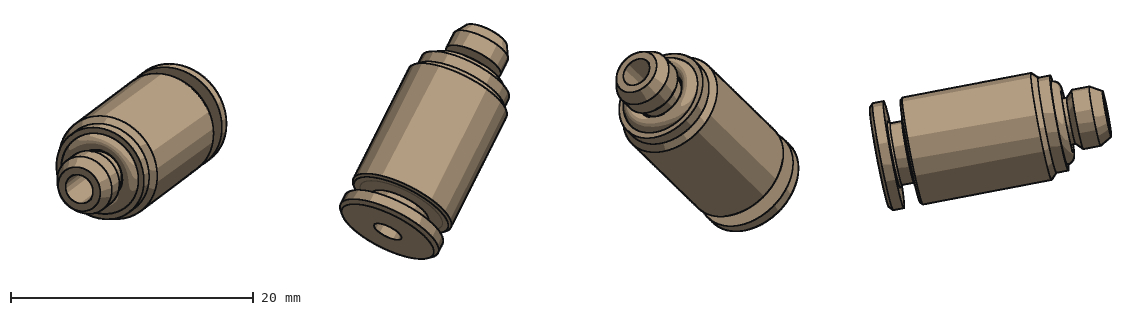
import cadquery as cq
import math


bore_diameter = 2.5

stud_diameter = 5.0
neck_diameter = 3.9
stud_tip_length = 1.0
stud_tip_angle = 30.0
neck_start = 3.0
stud_back_chamfer = (stud_diameter - neck_diameter) / 2

ring_outer_diameter = 7.0
ring_section_radius = 0.7
ring_center_radius = ring_outer_diameter / 2 - ring_section_radius

body_diameter = 9.0
spigot_diameter = 8.0
seat_position = 4.0
spigot_length = 1.0
body_front_chamfer = (body_diameter - spigot_diameter) / 2
body_rear_position = 16.5
body_rear_chamfer = 0.2
rear_cone_diameter = 7.5
rear_cone_height = 0.2

collar_diameter = 9.0
collar_neck_diameter = 5.2
collar_position = 17.9
collar_root_chamfer = 0.2
collar_rear_chamfer = 0.3
overall_length = 19.1


def turned(profile):
    """Revolve an XY half profile a full turn about the Y axis."""
    return profile.revolve(360, (0, 0, 0), (0, 1, 0))


def make_stud():
    """Stud with a tapered tip and a narrower neck that runs into the body seat."""
    stud_radius = stud_diameter / 2
    neck_radius = neck_diameter / 2
    tip_radius = stud_radius - stud_tip_length * math.tan(math.radians(stud_tip_angle))
    return turned(
        cq.Workplane("XY")
        .moveTo(0, 0)
        .lineTo(tip_radius, 0)
        .lineTo(stud_radius, stud_tip_length)
        .lineTo(stud_radius, neck_start - stud_back_chamfer)
        .lineTo(neck_radius, neck_start)
        .lineTo(neck_radius, seat_position)
        .lineTo(0, seat_position)
        .close()
    )


def make_seal_ring():
    """Round-section ring centred on the seat plane."""
    return turned(cq.Workplane("XY").moveTo(ring_center_radius, seat_position).circle(ring_section_radius))


def make_body():
    """Cylindrical body with a front spigot and a shallow cone at the rear."""
    body_radius = body_diameter / 2
    spigot_radius = spigot_diameter / 2
    spigot_end = seat_position + spigot_length
    collar_neck_radius = collar_neck_diameter / 2
    cone_end = body_rear_position + rear_cone_height
    return turned(
        cq.Workplane("XY")
        .moveTo(0, seat_position)
        .lineTo(spigot_radius, seat_position)
        .lineTo(spigot_radius, spigot_end)
        .lineTo(body_radius, spigot_end + body_front_chamfer)
        .lineTo(body_radius, body_rear_position - body_rear_chamfer)
        .lineTo(body_radius - body_rear_chamfer, body_rear_position)
        .lineTo(rear_cone_diameter / 2, body_rear_position)
        .lineTo(collar_neck_radius, cone_end)
        .lineTo(0, cone_end)
        .close()
    )


def make_release_collar():
    """Flanged collar on a neck that rises out of the rear of the body."""
    collar_radius = collar_diameter / 2
    neck_radius = collar_neck_diameter / 2
    return turned(
        cq.Workplane("XY")
        .moveTo(0, body_rear_position)
        .lineTo(neck_radius, body_rear_position)
        .lineTo(neck_radius, collar_position - collar_root_chamfer)
        .lineTo(neck_radius + collar_root_chamfer, collar_position)
        .lineTo(collar_radius, collar_position)
        .lineTo(collar_radius, overall_length - collar_rear_chamfer)
        .lineTo(collar_radius - collar_rear_chamfer, overall_length)
        .lineTo(0, overall_length)
        .close()
    )


def make_bore():
    """Straight bore through the whole length."""
    return turned(cq.Workplane("XY").rect(bore_diameter / 2, overall_length, centered=False))


solid_fitting = make_body().union(make_stud()).union(make_seal_ring()).union(make_release_collar())
result = solid_fitting.cut(make_bore())